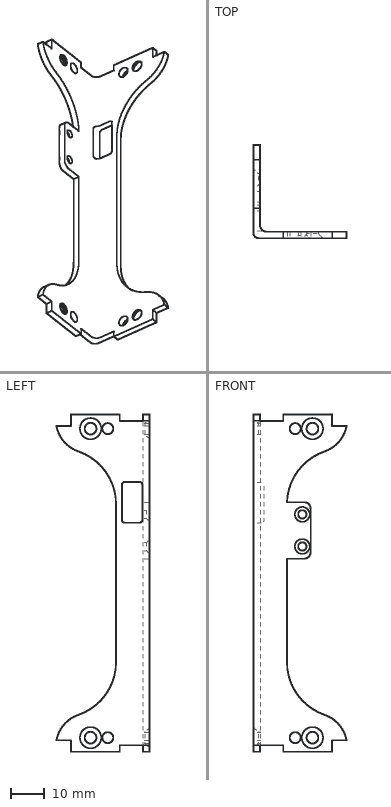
import cadquery as cq
import math

leg_width = 27.64
height = 99.8
thickness = 2.0
bend_outer_radius = 1.7
bend_inner_radius = 2.0

neck_width = 10.0
tab_start = 8.85
tab_end = 23.3
corner_notch_depth = 1.9
tip_notch_depth = 3.4
neck_arc_radius = 16.4
neck_arc_end_depth = 26.5
tip_arc_radius = 10.0

end_hole_depth = 4.2
plain_hole_across = 12.4
plain_hole_diameter = 3.2
screw_hole_across = 17.5
screw_hole_diameter = 3.4
screw_head_diameter = 6.3
countersink_angle = 90.0

ear_width = 17.0
ear_length = 16.8
ear_center_z = height - 34.3
ear_corner_radius = 2.0
ear_hole_across = 14.5
ear_hole_spacing = 9.5
ear_hole_diameter = 2.4
ear_head_diameter = 4.4

opening_start = 2.2
opening_width = 6.0
opening_length = 12.0
opening_center_z = height - 26.0
opening_corner_radius = 0.8


def point_on_circle(center, radius, angle):
    return (center[0] + radius * math.cos(angle), center[1] + radius * math.sin(angle))


def flip(point):
    """Mirror a leg point about the leg's mid-height."""
    return (point[0], height - point[1])


def leg_outline():
    """Flat outline of one leg on the XZ plane, the same at both ends."""
    tip = (leg_width, tip_notch_depth)
    neck_center = (neck_width + neck_arc_radius, neck_arc_end_depth)

    centers_distance = neck_arc_radius + tip_arc_radius
    tip_distance = math.dist(neck_center, tip)
    angle_to_tip = math.atan2(tip[1] - neck_center[1], tip[0] - neck_center[0])
    angle_at_neck_center = math.acos(
        (centers_distance**2 + tip_distance**2 - tip_arc_radius**2) / (2 * centers_distance * tip_distance)
    )
    angle_to_tangency = angle_to_tip - angle_at_neck_center
    tip_center = point_on_circle(neck_center, centers_distance, angle_to_tangency)
    tangency = point_on_circle(neck_center, neck_arc_radius, angle_to_tangency)

    tip_start_angle = math.atan2(tip[1] - tip_center[1], tip[0] - tip_center[0])
    tip_end_angle = angle_to_tangency + math.pi
    tip_middle = point_on_circle(tip_center, tip_arc_radius, (tip_start_angle + tip_end_angle) / 2)
    neck_middle = point_on_circle(neck_center, neck_arc_radius, (angle_to_tangency - math.pi) / 2)
    neck_end = (neck_width, neck_arc_end_depth)

    end_steps = [
        (0, corner_notch_depth),
        (tab_start, corner_notch_depth),
        (tab_start, 0),
        (tab_end, 0),
        (tab_end, tip_notch_depth),
        tip,
    ]
    outline = cq.Workplane("XZ").polyline(end_steps)
    outline = outline.threePointArc(tip_middle, tangency)
    outline = outline.threePointArc(neck_middle, neck_end)
    outline = outline.lineTo(*flip(neck_end))
    outline = outline.threePointArc(flip(neck_middle), flip(tangency))
    outline = outline.threePointArc(flip(tip_middle), flip(tip))
    for point in reversed(end_steps[:-1]):
        outline = outline.lineTo(*flip(point))
    return outline.close()


def ear():
    block = (
        cq.Workplane("XZ")
        .center(ear_width / 2, ear_center_z)
        .rect(ear_width, ear_length)
        .extrude(-leg_width)
    )
    return block.edges("|Y and >X").fillet(ear_corner_radius)


def swap_legs(shape):
    """Mirror about the plane X = Y, which exchanges the two legs."""
    return shape.mirror(cq.Vector(1, -1, 0), (0, 0, 0))


def countersunk_hole(across, z, hole_diameter, head_diameter):
    """Cutter for a hole in the X leg, countersunk from its outer face at Y = 0."""
    sink_depth = (head_diameter - hole_diameter) / 2 / math.tan(math.radians(countersink_angle / 2))
    start = cq.Vector(across, 0, z)
    inward = cq.Vector(0, 1, 0)
    cone = cq.Solid.makeCone(head_diameter / 2, hole_diameter / 2, sink_depth, start, inward)
    return cone.fuse(cq.Solid.makeCylinder(hole_diameter / 2, thickness, start, inward))


def end_holes():
    """Cutters for the plain and screw holes at both ends of the X leg."""
    cutters = []
    for z in (end_hole_depth, height - end_hole_depth):
        start = cq.Vector(plain_hole_across, 0, z)
        cutters.append(cq.Solid.makeCylinder(plain_hole_diameter / 2, thickness, start, cq.Vector(0, 1, 0)))
        cutters.append(countersunk_hole(screw_hole_across, z, screw_hole_diameter, screw_head_diameter))
    return cutters


def bent_angle():
    """Full-height L section with a rounded bend."""
    section = [
        (0, 0),
        (leg_width, 0),
        (leg_width, thickness),
        (thickness, thickness),
        (thickness, leg_width),
        (0, leg_width),
    ]
    angle = cq.Workplane("XY").polyline(section).close().extrude(height)
    angle = angle.edges(cq.selectors.NearestToPointSelector((0, 0, height / 2))).fillet(bend_outer_radius)
    inner_corner = (thickness, thickness, height / 2)
    return angle.edges(cq.selectors.NearestToPointSelector(inner_corner)).fillet(bend_inner_radius)


def x_side():
    """Prism holding everything on the X-leg side of the plane X = Y."""
    corners = [(0, 0), (leg_width, 0), (leg_width, leg_width)]
    return cq.Workplane("XY").polyline(corners).close().extrude(height)


def opening():
    """Cutter for the rectangular opening through the Y leg and its inner bend fillet."""
    block = (
        cq.Workplane("YZ")
        .center(opening_start + opening_width / 2, opening_center_z)
        .rect(opening_width, opening_length)
        .extrude(thickness + bend_inner_radius)
    )
    return block.edges("|X").fillet(opening_corner_radius)


x_half = bent_angle().intersect(x_side())
plain_profile = leg_outline().extrude(-leg_width)
plain_leg = x_half.intersect(plain_profile)
eared_leg = x_half.intersect(plain_profile.union(ear()))
result = eared_leg.union(swap_legs(plain_leg)).clean()

for cutter in end_holes():
    result = result.cut(cutter).cut(swap_legs(cutter))

for side in (-1, 1):
    ear_hole_z = ear_center_z + side * ear_hole_spacing / 2
    result = result.cut(countersunk_hole(ear_hole_across, ear_hole_z, ear_hole_diameter, ear_head_diameter))

result = result.cut(opening())